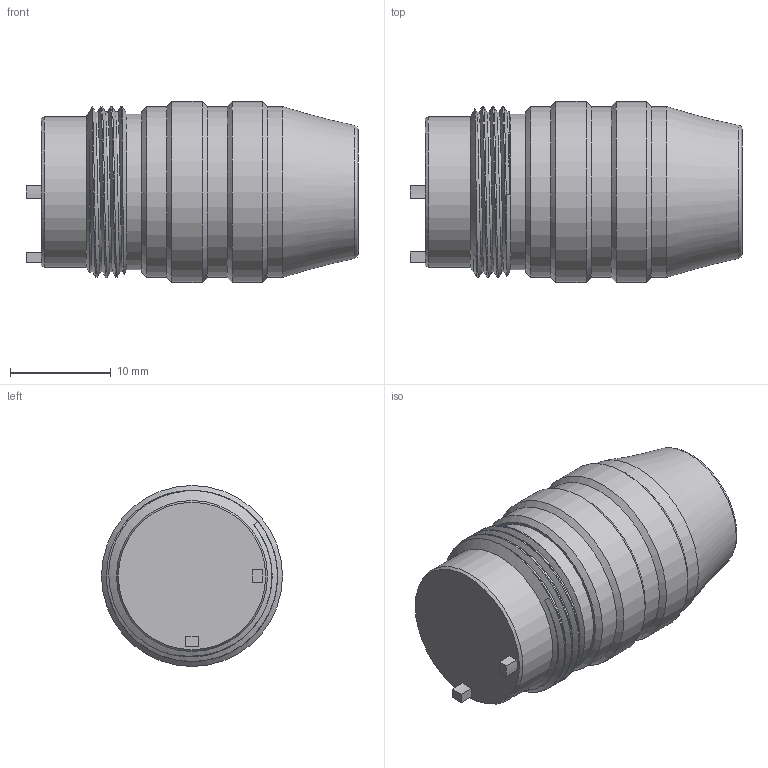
import cadquery as cq
import math

plug_radius = 7.5
plug_length = 4.5
face_chamfer_length = 0.3
face_chamfer_depth = 0.17

pitch = 1.0
thread_radius = 8.5
thread_end = 8.5
relief_radius = 7.75
flank_slope = math.tan(math.radians(30))
thread_height = pitch / (2 * flank_slope)
thread_depth = thread_height * 5 / 8
thread_root_radius = thread_radius - thread_depth
root_flat = pitch / 4
groove_start = plug_length - pitch / 2
groove_overshoot = 0.05
groove_length = 5 * pitch

barrel_start = 10.0
barrel_radius = 8.5
barrel_end = 24.0
ring_radius = 9.0
step_chamfer = 0.5
first_ring = (12.5, 16.5)
second_ring = (18.5, 22.5)

body_length = 31.5
tail_radius = 6.55
tail_round = 0.4
tail_curve_depth = 0.12

key_length = 1.5
key_width = 1.3
key_inner_radius = 6.0
key_outer_radius = 7.0
key_angles = (0, 90)


def add_ring(outline, start, end):
    """Draw one raised ring with sloped sides on the barrel outline."""
    return (
        outline.lineTo(start, barrel_radius)
        .lineTo(start + step_chamfer, ring_radius)
        .lineTo(end - step_chamfer, ring_radius)
        .lineTo(end, barrel_radius)
    )


def make_body():
    """Revolve the half outline, with only the plain core where the thread goes."""
    outline = (
        cq.Workplane("XY")
        .moveTo(0, 0)
        .lineTo(0, plug_radius - face_chamfer_depth)
        .lineTo(face_chamfer_length, plug_radius)
        .lineTo(thread_end, plug_radius)
        .lineTo(thread_end, relief_radius)
        .lineTo(barrel_start, relief_radius)
        .lineTo(barrel_start, barrel_radius - step_chamfer)
        .lineTo(barrel_start + step_chamfer, barrel_radius)
    )
    for start, end in (first_ring, second_ring):
        outline = add_ring(outline, start, end)

    curve_middle_x = (barrel_end + body_length) / 2
    curve_middle_radius = (barrel_radius + tail_radius) / 2 - tail_curve_depth
    outline = (
        outline.lineTo(barrel_end, barrel_radius)
        .threePointArc((curve_middle_x, curve_middle_radius), (body_length, tail_radius))
        .lineTo(body_length, 0)
        .close()
    )
    body = outline.revolve(360, (0, 0, 0), (1, 0, 0))
    return body.faces(">X").edges().fillet(tail_round)


def make_thread_groove():
    """Sweep the groove section along a right-hand helix that overruns both ends of the band."""
    half_root = root_flat / 2
    half_mouth = half_root + (thread_depth + groove_overshoot) * flank_slope
    mouth_radius = thread_radius + groove_overshoot
    helix = cq.Wire.makeHelix(pitch, groove_length, thread_root_radius)
    groove = (
        cq.Workplane("XZ")
        .moveTo(thread_root_radius, -half_root)
        .lineTo(mouth_radius, -half_mouth)
        .lineTo(mouth_radius, half_mouth)
        .lineTo(thread_root_radius, half_root)
        .close()
        .sweep(cq.Workplane(helix), isFrenet=True)
    )
    return groove.rotate((0, 0, 0), (0, 1, 0), 90).translate((groove_start, 0, 0))


def make_threaded_band():
    """Cut the groove in a plain cylinder, then slope both ends of the thread."""
    lead_in = (thread_radius - plug_radius) * flank_slope
    lead_out = (thread_radius - relief_radius) * flank_slope
    sloped_blank = (
        cq.Workplane("XY")
        .moveTo(plug_length, 0)
        .lineTo(plug_length, plug_radius)
        .lineTo(plug_length + lead_in, thread_radius)
        .lineTo(thread_end - lead_out, thread_radius)
        .lineTo(thread_end, relief_radius)
        .lineTo(thread_end, 0)
        .close()
        .revolve(360, (0, 0, 0), (1, 0, 0))
    )
    cylinder = (
        cq.Workplane("YZ", origin=(plug_length, 0, 0))
        .circle(thread_radius)
        .extrude(thread_end - plug_length)
    )
    return cylinder.cut(make_thread_groove()).intersect(sloped_blank)


def make_key(angle):
    """One key, cut from a tube so that its inner and outer faces follow the body."""
    tube = (
        cq.Workplane("YZ", origin=(-key_length, 0, 0))
        .circle(key_outer_radius)
        .circle(key_inner_radius)
        .extrude(key_length + face_chamfer_length)
    )
    block = (
        cq.Workplane("YZ", origin=(-key_length, 0, 0))
        .center(0, -key_outer_radius)
        .rect(key_width, key_outer_radius)
        .extrude(2 * key_length)
    )
    return tube.intersect(block).rotate((0, 0, 0), (1, 0, 0), -angle)


result = make_body().union(make_threaded_band())
for angle in key_angles:
    result = result.union(make_key(angle))